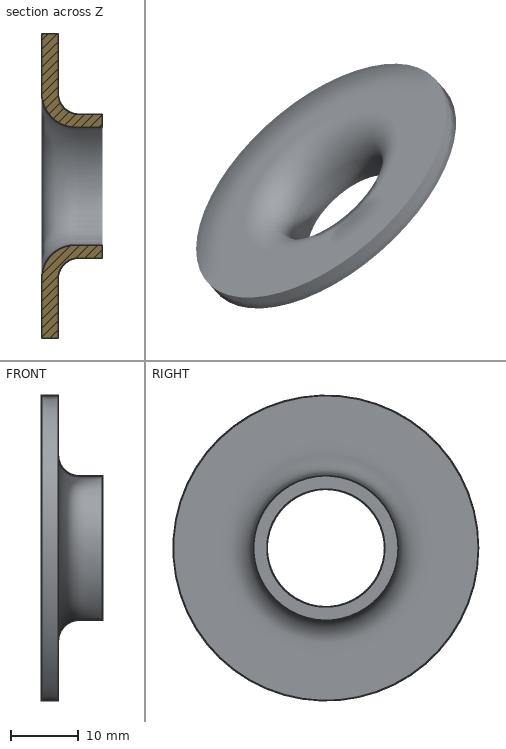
import cadquery as cq

flange_diameter = 45.0
flange_thickness = 2.5
tube_outer_diameter = 21.3
bore_diameter = 17.3
total_length = 9.0
inner_flare_radius = 5.0
outer_flare_radius = 3.0

flange_radius = flange_diameter / 2
tube_radius = tube_outer_diameter / 2
bore_radius = bore_diameter / 2

outer_flare_end = flange_thickness + outer_flare_radius
outer_flare_root = tube_radius + outer_flare_radius
inner_flare_mouth = bore_radius + inner_flare_radius


def make_half_section():
    """Half section in the XY plane: X is the axis, Y is the radius."""
    return (
        cq.Workplane("XY")
        .moveTo(0, flange_radius)
        .lineTo(flange_thickness, flange_radius)
        .lineTo(flange_thickness, outer_flare_root)
        .radiusArc((outer_flare_end, tube_radius), -outer_flare_radius)
        .lineTo(total_length, tube_radius)
        .lineTo(total_length, bore_radius)
        .lineTo(inner_flare_radius, bore_radius)
        .radiusArc((0, inner_flare_mouth), inner_flare_radius)
        .close()
    )


axis_start = (0, 0, 0)
axis_end = (1, 0, 0)
result = make_half_section().revolve(360, axis_start, axis_end)